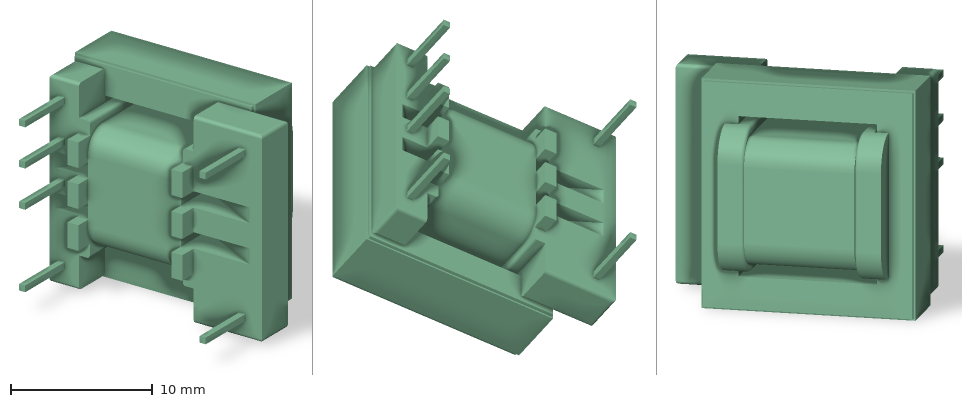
import cadquery as cq


CORE_LENGTH = 15.21
CORE_DEPTH = 4.99
CORE_HEIGHT = 16.42
WINDOW_HEIGHT = 11.65
TAPE_THICKNESS = 0.15
TAPE_DEPTH = 4.49
CLEARANCE = 0.102

TUBE_HOLE_HEIGHT = 4.29
TUBE_WALL = 0.5
FLANGE_GAP = 8.0
FLANGE_THICKNESS = 0.93
FLANGE_HEIGHT = 10.63
FLANGE_CORNER_RADIUS = 2.34
FLANGE_EDGE_RADIUS = 0.25
BACK_Y = 4.99
OVERHANG = 1.0

BASE_DEPTH = 3.19
BASE_HEIGHT = 16.0
BASE_EDGE_RADIUS = 0.26
LEFT_END_X = -7.48
TOTAL_LENGTH = 18.55
TOTAL_DEPTH = 15.7

POST_LENGTH = 1.41
POST_ROW_HEIGHT = 8.38
SLOT_WIDTH = 1.26
SLOT_PITCH = 3.17
SLOT_DEPTH = 2.99
LEFT_SLOT_LENGTH = 2.99
RIGHT_SLOT_LENGTH = 5.73

PIN_SIZE = 0.52
PIN_PITCH = 3.19
LEFT_PIN_X = -6.38
RIGHT_PIN_X = 9.13
LEFT_PIN_ROWS = (-2, 0, 1, 2)
RIGHT_PIN_ROWS = (-2, 2)

WINDING_HEIGHT = 9.24
WINDING_FRONT_Y = -6.01
WINDING_CORNER_RADIUS = 1.82

TUBE_HOLE_DEPTH = CORE_DEPTH + 2 * CLEARANCE
TUBE_DEPTH = TUBE_HOLE_DEPTH + 2 * TUBE_WALL
TUBE_HEIGHT = TUBE_HOLE_HEIGHT + 2 * TUBE_WALL
FLANGE_INNER_X = FLANGE_GAP / 2
FLANGE_OUTER_X = FLANGE_INNER_X + FLANGE_THICKNESS
FLANGE_BACK_Y = TUBE_HOLE_DEPTH / 2
WINDOW_LENGTH = 2 * (FLANGE_OUTER_X + CLEARANCE)
CENTER_LEG_HEIGHT = TUBE_HOLE_HEIGHT - 2 * CLEARANCE
BASE_BACK_Y = -TUBE_HOLE_DEPTH / 2
BASE_FRONT_Y = BASE_BACK_Y - BASE_DEPTH
RIGHT_END_X = -(CORE_LENGTH / 2 + TAPE_THICKNESS) + TOTAL_LENGTH
PIN_TIP_Y = BACK_Y - TOTAL_DEPTH
SLOT_ROWS = (-SLOT_PITCH / 2, SLOT_PITCH / 2)


def block(x_range, y_range, z_range):
    """Box between two limits along each axis."""
    lengths = [high - low for low, high in (x_range, y_range, z_range)]
    corner = (x_range[0], y_range[0], z_range[0])
    return cq.Workplane("XY").box(*lengths, centered=False).translate(corner)


def centered(length):
    return (-length / 2, length / 2)


def make_core_half(side):
    """E-shaped half: a back and three legs that end at the middle plane X = 0."""
    half_length = CORE_LENGTH / 2
    x_middle = side * half_length / 2
    half = cq.Workplane("XY").box(half_length, CORE_DEPTH, CORE_HEIGHT).translate((x_middle, 0, 0))
    window = cq.Workplane("XY").box(WINDOW_LENGTH, CORE_DEPTH, WINDOW_HEIGHT)
    center_leg = cq.Workplane("XY").box(CORE_LENGTH, CORE_DEPTH, CENTER_LEG_HEIGHT)
    return half.cut(window.cut(center_leg))


def make_tape():
    """Band wrapped around the outside of both core halves."""
    outer_length = CORE_LENGTH + 2 * TAPE_THICKNESS
    outer_height = CORE_HEIGHT + 2 * TAPE_THICKNESS
    band = cq.Workplane("XY").box(outer_length, TAPE_DEPTH, outer_height)
    return band.cut(cq.Workplane("XY").box(CORE_LENGTH, TAPE_DEPTH, CORE_HEIGHT))


def flange_slab(x_range):
    """Slab with the flange outline: square at the front, two large round corners at the back."""
    slab = block(x_range, (BASE_FRONT_Y, BACK_Y), centered(FLANGE_HEIGHT))
    return slab.edges("|X and >Y").fillet(FLANGE_CORNER_RADIUS)


def make_flange():
    """Right-hand flange with the lip that reaches over the back of the core."""
    wall = flange_slab((FLANGE_INNER_X, FLANGE_OUTER_X))
    wall = wall.faces("<X").edges("not <Y").fillet(FLANGE_EDGE_RADIUS)
    lip_x = (FLANGE_OUTER_X, FLANGE_OUTER_X + OVERHANG)
    lip = block(lip_x, (FLANGE_BACK_Y, BACK_Y), centered(FLANGE_HEIGHT))
    lip = lip.edges("|X and <Y").fillet(FLANGE_EDGE_RADIUS)
    return wall.union(lip.intersect(flange_slab(lip_x)))


def make_base_block(inner_x, outer_x):
    """Pin block with rounded edges on its two ends, except beside the flange."""
    x_range = (min(inner_x, outer_x), max(inner_x, outer_x))
    base = block(x_range, (BASE_FRONT_Y, BASE_BACK_Y), centered(BASE_HEIGHT))
    inner_edge = "<X" if inner_x < outer_x else ">X"
    return base.faces("<Z or >Z").edges("not " + inner_edge).fillet(BASE_EDGE_RADIUS)


def make_slot(side, length, z_middle):
    """Wedge cut in the base front, deepest at the inner face of the flange."""
    outline = [
        (side * FLANGE_INNER_X, BASE_FRONT_Y),
        (side * (FLANGE_INNER_X + length), BASE_FRONT_Y),
        (side * FLANGE_INNER_X, BASE_FRONT_Y + SLOT_DEPTH),
    ]
    wedge = cq.Workplane("XY").polyline(outline).close().extrude(SLOT_WIDTH)
    return wedge.translate((0, 0, z_middle - SLOT_WIDTH / 2))


def make_post_row():
    """Right-hand row of three wire posts in front of the flange."""
    x_range = (FLANGE_INNER_X, FLANGE_OUTER_X)
    y_range = (BASE_FRONT_Y - POST_LENGTH, BASE_FRONT_Y)
    row = block(x_range, y_range, centered(POST_ROW_HEIGHT))
    for z_middle in SLOT_ROWS:
        z_range = (z_middle - SLOT_WIDTH / 2, z_middle + SLOT_WIDTH / 2)
        row = row.cut(block(x_range, y_range, z_range))
    return row


def make_pins(x, rows):
    """Square pins standing on the base front, at multiples of the pin pitch along Z."""
    length = BASE_FRONT_Y - PIN_TIP_Y
    places = [(x, row * PIN_PITCH) for row in rows]
    pins = cq.Workplane("XZ", origin=(0, BASE_FRONT_Y, 0)).pushPoints(places)
    return pins.rect(PIN_SIZE, PIN_SIZE).extrude(length)


def make_bobbin():
    """Tube, flanges, pin blocks, wire posts and pins, moulded together."""
    bobbin = cq.Workplane("XY").box(FLANGE_GAP, TUBE_DEPTH, TUBE_HEIGHT)
    flange = make_flange()
    posts = make_post_row()
    bobbin = bobbin.union(flange).union(flange.mirror("YZ"))
    bobbin = bobbin.union(make_base_block(-FLANGE_OUTER_X, LEFT_END_X))
    bobbin = bobbin.union(make_base_block(FLANGE_OUTER_X, RIGHT_END_X))
    for z_middle in SLOT_ROWS:
        bobbin = bobbin.cut(make_slot(-1, LEFT_SLOT_LENGTH, z_middle))
        bobbin = bobbin.cut(make_slot(1, RIGHT_SLOT_LENGTH, z_middle))
    bobbin = bobbin.union(posts).union(posts.mirror("YZ"))
    bobbin = bobbin.union(make_pins(LEFT_PIN_X, LEFT_PIN_ROWS))
    bobbin = bobbin.union(make_pins(RIGHT_PIN_X, RIGHT_PIN_ROWS))
    hole_length = 2 * FLANGE_OUTER_X
    return bobbin.cut(cq.Workplane("XY").box(hole_length, TUBE_HOLE_DEPTH, TUBE_HOLE_HEIGHT))


def make_winding():
    """Coil that fills the space between the flanges around the tube."""
    coil = block(centered(FLANGE_GAP), (WINDING_FRONT_Y, BACK_Y), centered(WINDING_HEIGHT))
    coil = coil.edges("|X").fillet(WINDING_CORNER_RADIUS)
    return coil.cut(cq.Workplane("XY").box(FLANGE_GAP, TUBE_DEPTH, TUBE_HEIGHT))


bobbin = make_bobbin()
winding = make_winding()
tape = make_tape()
core_halves = [make_core_half(side) for side in (-1, 1)]

bodies = [bobbin, winding, tape, *core_halves]
result = cq.Compound.makeCompound([body.solids().val() for body in bodies])